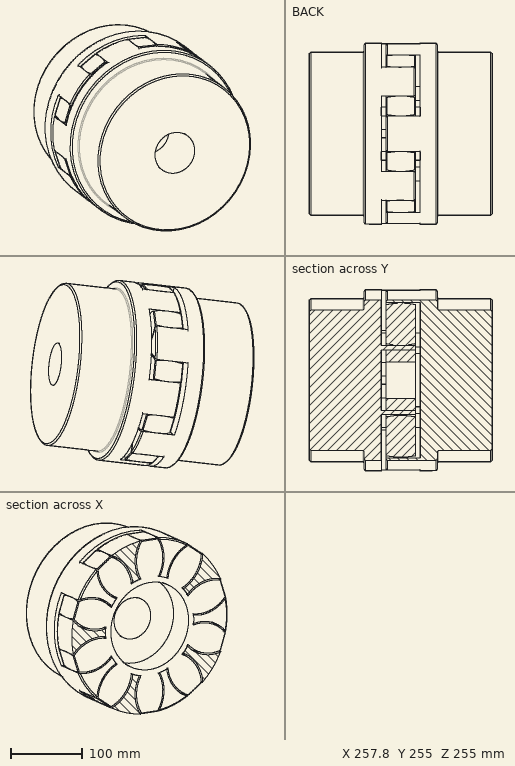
import cadquery as cq


length = 257.8
half_length = length / 2
jaws_per_hub = 5
jaw_pitch = 360 / jaws_per_hub

hub_radius = 115.0
flange_diameter = 255.0
flange_radius = flange_diameter / 2
bore_radius = 30.0
flange_face_x = 51.8
end_chamfer = 2.3
root_fillet = 1.5
jaw_root_x = 27.3
jaw_tip_chamfer = 2.0
jaw_inner_radius = 72.0

gap_radius = 55.0
gap_center_radius = 101.8

spider_half_width = 21.0
leg_count = 2 * jaws_per_hub
leg_pitch = 360 / leg_count
leg_reach = 126.3
leg_chamfer = 1.3
leg_crown = 2.0
spider_bore_radius = 63.5


def cylinder_x(radius, x_start, x_end):
    """Solid cylinder on the X axis."""
    return cq.Workplane("YZ", origin=(x_start, 0, 0)).circle(radius).extrude(x_end - x_start)


def place_at_angle(body, angle):
    """Move a body from the X axis out to a gap centre at the given angle."""
    moved = body.translate((0, -gap_center_radius, 0))
    return moved.rotate((0, 0, 0), (1, 0, 0), -angle)


def hub_blank():
    """Turned hub on the -X side, long enough to hold the jaws."""
    flange_x = -flange_face_x
    return (
        cq.Workplane("XY")
        .moveTo(-half_length, bore_radius)
        .lineTo(-half_length, hub_radius - end_chamfer)
        .lineTo(-half_length + end_chamfer, hub_radius)
        .lineTo(flange_x - root_fillet, hub_radius)
        .radiusArc((flange_x, hub_radius + root_fillet), -root_fillet)
        .lineTo(flange_x, flange_radius - end_chamfer)
        .lineTo(flange_x + end_chamfer, flange_radius)
        .lineTo(spider_half_width - jaw_tip_chamfer, flange_radius)
        .lineTo(spider_half_width, flange_radius - jaw_tip_chamfer)
        .lineTo(spider_half_width, bore_radius)
        .close()
        .revolve(360, (0, 0, 0), (1, 0, 0))
    )


def make_hub():
    """Hub on the -X side, with a gap between jaws facing -Y."""
    hub = hub_blank().cut(cylinder_x(jaw_inner_radius, -jaw_root_x, spider_half_width))
    gap = cylinder_x(gap_radius, -jaw_root_x, spider_half_width)
    for i in range(jaws_per_hub):
        hub = hub.cut(place_at_angle(gap, i * jaw_pitch))
    return hub


def leg_barrel():
    """Barrel that fills a jaw gap and touches its wall only at the middle plane."""
    edge_radius = gap_radius - leg_crown
    return (
        cq.Workplane("XY")
        .moveTo(-spider_half_width, 0)
        .lineTo(-spider_half_width, edge_radius)
        .threePointArc((0, gap_radius), (spider_half_width, edge_radius))
        .lineTo(spider_half_width, 0)
        .close()
        .revolve(360, (0, 0, 0), (1, 0, 0))
    )


def make_leg():
    """Leg facing -Y: overlap of the two neighbouring barrels, cut off by a flat, chamfered outer face."""
    block = (
        cq.Workplane("XY")
        .box(2 * spider_half_width, leg_reach, 2 * gap_radius, centered=(True, False, True))
        .translate((0, -leg_reach, 0))
        .faces("<Y").edges("|Z").chamfer(leg_chamfer)
    )
    barrel = leg_barrel()
    lower_barrel = place_at_angle(barrel, -leg_pitch / 2)
    upper_barrel = place_at_angle(barrel, leg_pitch / 2)
    return block.intersect(lower_barrel).intersect(upper_barrel)


def make_spider():
    """Ring with legs halfway between neighbouring jaw gaps."""
    leg = make_leg()
    spider = cylinder_x(jaw_inner_radius, -spider_half_width, spider_half_width)
    for i in range(leg_count):
        spider = spider.union(leg.rotate((0, 0, 0), (1, 0, 0), -(i + 0.5) * leg_pitch))
    return spider.cut(cylinder_x(spider_bore_radius, -spider_half_width, spider_half_width))


left_hub = make_hub()
right_hub = make_hub().mirror("YZ").rotate((0, 0, 0), (1, 0, 0), -leg_pitch)
spider = make_spider()

result = cq.Compound.makeCompound(
    [left_hub.solids().val(), right_hub.solids().val(), spider.solids().val()]
)